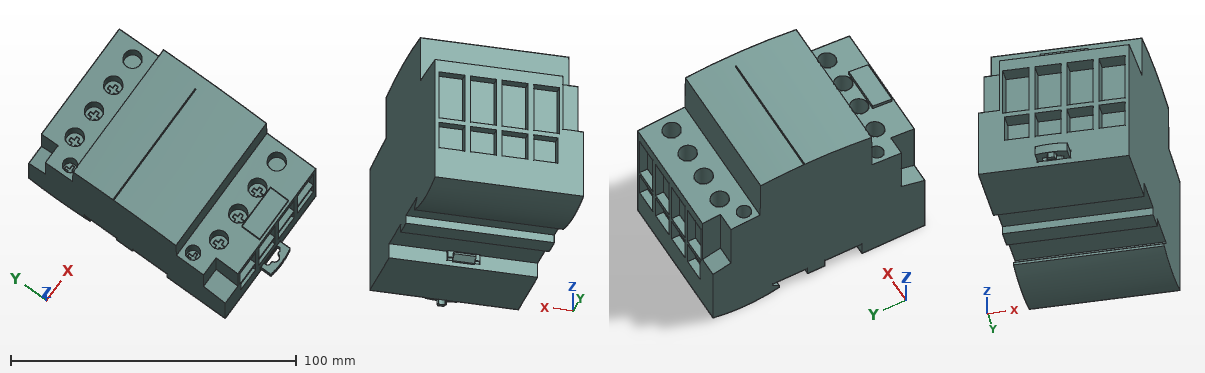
import cadquery as cq
import math

width = 54.0
depth = 85.0
front_y = -depth / 2
back_y = depth / 2
left_x = -width / 2
terminal_mid_y = 1.1

deck_radius = 419.0
deck_crown_z = 50.05

hump_base_half_depth = 22.5
hump_top_half_depth = 22.25
hump_radius = 174.0
hump_crown_y = 4.5
hump_crown_z = 67.5

rib_y = 5.9
rib_width = 0.35
rib_right_x = 22.0
rib_root_depth = 1.0
top_z = 67.74

rail_z = 5.6
rail_front_y = -17.3
pad_front_y = -2.4
pad_back_y = 4.5
pad_z = 2.55
lip_root_y = 18.5
lip_root_z = 4.9
lip_tip_y = 15.9
lip_tip_top_z = 3.05
lip_tip_bottom_z = 2.0
foot_radius = 51.0
foot_low_y = 30.15
foot_back_z = (back_y - foot_low_y) ** 2 / (2 * foot_radius)

notch_width = 7.55
notch_wall_offset = 34.2
notch_floor_z = 29.0
notch_floor_slope = 0.275

terminal_count = 4
terminal_pitch = 11.48
first_screw_x = -13.6
screw_offset_y = 31.2
screw_hole_diameter = 6.7
screw_floor_z = 40.0
small_screw_x = -22.75
small_screw_offset_y = 26.6
small_screw_hole_diameter = 5.3
cross_length = 4.1
cross_arm_width = 1.3
small_cross_arm_width = 0.95
cross_depth = 1.0

opening_width = 9.4
first_opening_x = -13.55
opening_floor_y_offset = 38.2
upper_opening_z = (25.1, 43.3)
lower_opening_z = (13.3, 23.3)
narrow_opening_left_x = -17.6

plate_left_x = -5.15
plate_right_x = 12.0
plate_back_y = -33.8
plate_front_y = -41.55
plate_back_z = 50.05
plate_front_z = 49.1
plate_root_z = 47.0

latch_width = 11.5
latch_bottom_z = 2.15
latch_top_z = rail_z
latch_slot_width = 12.1
tab_corner_y = -46.85
tab_tip_y = -47.4
slider_end_y = -16.65
slider_step_z = 3.1
hook_width = 8.0
hook_bottom_z = 1.7
hook_tip_y = -15.0
hook_tip_z = (3.75, 4.4)
hook_top_z = 4.75
key_slot_y = -43.4
key_slot_length = 7.7
key_slot_width = 2.0
key_hole_y = -44.2
key_hole_radius = 1.8
pin_back_y = -45.6
pin_front_y = -47.15
pin_back_half_width = 1.7
pin_front_half_width = 1.1


def arc_z(y, crown_y, crown_z, radius):
    """Height at y of an upright arc with its highest point at the crown."""
    return crown_z - radius + math.sqrt(radius ** 2 - (y - crown_y) ** 2)


def deck_z(y):
    return arc_z(y, terminal_mid_y, deck_crown_z, deck_radius)


def hump_z(y):
    return arc_z(y, hump_crown_y, hump_crown_z, hump_radius)


def box(x_range, y_range, z_range):
    """Box between two limits on each axis."""
    size = [b - a for a, b in (x_range, y_range, z_range)]
    corner = cq.Vector(x_range[0], y_range[0], z_range[0])
    return cq.Workplane(cq.Solid.makeBox(*size, corner))


def side_plane(x):
    """Sketch plane whose axes are Y and Z, extruding toward +X."""
    return cq.Workplane("YZ", origin=(x, 0, 0))


def make_blank():
    """Housing side outline, extruded over the full width."""
    hump_front_y = terminal_mid_y - hump_base_half_depth
    hump_back_y = terminal_mid_y + hump_base_half_depth
    hump_top_front_y = terminal_mid_y - hump_top_half_depth
    hump_top_back_y = terminal_mid_y + hump_top_half_depth
    front_deck_mid_y = (front_y + hump_front_y) / 2
    back_deck_mid_y = (back_y + hump_back_y) / 2
    return (
        side_plane(left_x)
        .moveTo(front_y, 0)
        .lineTo(front_y, deck_z(front_y))
        .threePointArc((front_deck_mid_y, deck_z(front_deck_mid_y)), (hump_front_y, deck_z(hump_front_y)))
        .lineTo(hump_top_front_y, hump_z(hump_top_front_y))
        .threePointArc((hump_crown_y, hump_crown_z), (hump_top_back_y, hump_z(hump_top_back_y)))
        .lineTo(hump_back_y, deck_z(hump_back_y))
        .threePointArc((back_deck_mid_y, deck_z(back_deck_mid_y)), (back_y, deck_z(back_y)))
        .lineTo(back_y, foot_back_z)
        .threePointArc((foot_low_y, 0), (lip_tip_y, lip_tip_bottom_z))
        .lineTo(lip_tip_y, lip_tip_top_z)
        .lineTo(lip_root_y, lip_root_z)
        .lineTo(lip_root_y, rail_z)
        .lineTo(pad_back_y, rail_z)
        .lineTo(pad_back_y, pad_z)
        .lineTo(pad_front_y, pad_z)
        .lineTo(pad_front_y, rail_z)
        .lineTo(rail_front_y, rail_z)
        .lineTo(rail_front_y, 0)
        .close()
        .extrude(width)
    )


def make_rib():
    y_range = (rib_y - rib_width / 2, rib_y + rib_width / 2)
    return box((left_x, rib_right_x), y_range, (hump_crown_z - rib_root_depth, top_z))


def make_label_plate():
    outline = [
        (plate_back_y, plate_root_z),
        (plate_back_y, plate_back_z),
        (plate_front_y, plate_front_z),
        (plate_front_y, plate_root_z),
    ]
    return side_plane(plate_left_x).polyline(outline).close().extrude(plate_right_x - plate_left_x)


def corner_notch(end):
    """Notch in the left corner; end is -1 at the front and +1 at the back."""
    reach = depth / 2
    wall_y = terminal_mid_y + end * notch_wall_offset
    outline = [
        (wall_y, notch_floor_z),
        (wall_y, deck_crown_z),
        (wall_y + end * reach, deck_crown_z),
        (wall_y + end * reach, notch_floor_z - notch_floor_slope * reach),
    ]
    return side_plane(left_x).polyline(outline).close().extrude(notch_width)


def screw_well(x, y, diameter, arm_width):
    """Round well from the deck to its flat floor, with a cross recess unless the arm width is 0."""
    floor = cq.Workplane(origin=(x, y, screw_floor_z))
    well = floor.circle(diameter / 2).extrude(deck_crown_z - screw_floor_z)
    if arm_width > 0:
        well = well.union(floor.rect(cross_length, arm_width).extrude(-cross_depth))
        well = well.union(floor.rect(arm_width, cross_length).extrude(-cross_depth))
    return well


def cable_opening(index, end, z_range, left_limit=left_x):
    centre_x = first_opening_x + index * terminal_pitch
    x_range = (max(centre_x - opening_width / 2, left_limit), centre_x + opening_width / 2)
    inner_y = terminal_mid_y + end * opening_floor_y_offset
    y_range = sorted((inner_y, end * depth))
    return box(x_range, y_range, z_range)


def make_housing():
    housing = make_blank().union(make_rib()).union(make_label_plate())
    for end in (-1, 1):
        housing = housing.cut(corner_notch(end))
        small_y = terminal_mid_y + end * small_screw_offset_y
        housing = housing.cut(
            screw_well(small_screw_x, small_y, small_screw_hole_diameter, small_cross_arm_width)
        )
        screw_y = terminal_mid_y + end * screw_offset_y
        for index in range(terminal_count):
            screw_x = first_screw_x + index * terminal_pitch
            arm_width = cross_arm_width if index < terminal_count - 1 else 0
            housing = housing.cut(screw_well(screw_x, screw_y, screw_hole_diameter, arm_width))
            lower_left_x = narrow_opening_left_x if index == 0 else left_x
            housing = housing.cut(cable_opening(index, end, upper_opening_z))
            housing = housing.cut(cable_opening(index, end, lower_opening_z, lower_left_x))
    latch_slot = box(
        (-latch_slot_width / 2, latch_slot_width / 2),
        (front_y, rail_front_y),
        (latch_bottom_z, latch_top_z),
    )
    return housing.cut(latch_slot)


def make_latch():
    half_width = latch_width / 2
    latch = (
        cq.Workplane(origin=(0, 0, latch_bottom_z))
        .moveTo(-half_width, slider_end_y)
        .lineTo(-half_width, tab_corner_y)
        .threePointArc((0, tab_tip_y), (half_width, tab_corner_y))
        .lineTo(half_width, slider_end_y)
        .close()
        .extrude(latch_top_z - latch_bottom_z)
    )
    latch = latch.cut(
        box((-half_width, half_width), (rail_front_y, slider_end_y), (latch_bottom_z, slider_step_z))
    )
    hook_outline = [
        (rail_front_y, hook_bottom_z),
        (hook_tip_y, hook_tip_z[0]),
        (hook_tip_y, hook_tip_z[1]),
        (slider_end_y, hook_top_z),
        (rail_front_y, hook_top_z),
    ]
    latch = latch.union(side_plane(-hook_width / 2).polyline(hook_outline).close().extrude(hook_width))
    pin_outline = [
        (-pin_back_half_width, pin_back_y),
        (pin_back_half_width, pin_back_y),
        (pin_front_half_width, pin_front_y),
        (-pin_front_half_width, pin_front_y),
    ]
    latch = latch.union(cq.Workplane().polyline(pin_outline).close().extrude(latch_top_z))
    key_slot = cq.Workplane().center(0, key_slot_y).slot2D(key_slot_length, key_slot_width).extrude(latch_top_z)
    key_hole = cq.Workplane().center(0, key_hole_y).circle(key_hole_radius).extrude(latch_top_z)
    return latch.cut(key_slot).cut(key_hole)


housing = make_housing()
latch = make_latch()
result = cq.Compound.makeCompound([housing.val(), latch.val()])